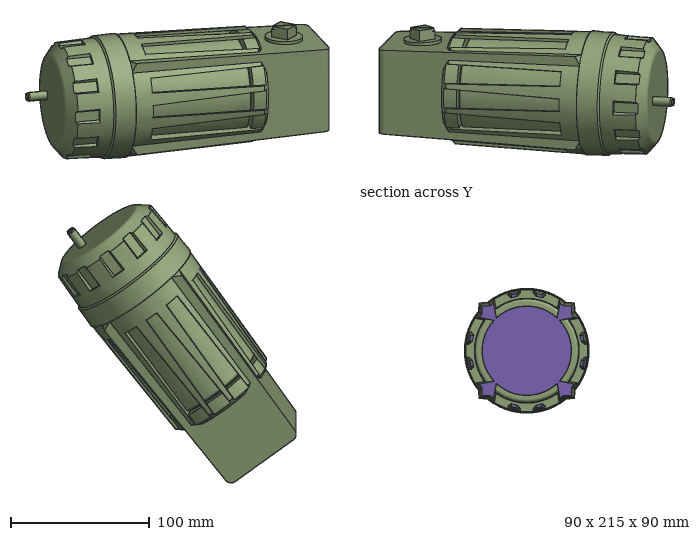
import cadquery as cq
import math


CAP_CHAMFER_END_Y = 7.0
CAP_REAR_Y = 33.5
COLLAR_FRONT_Y = 34.8
COLLAR_REAR_Y = 50.1
WINDOW_FRONT_Y = 63.0
CORE_REAR_Y = 138.5
BAND_FRONT_Y = 139.8
HOUSING_SHOULDER_Y = 147.3
HOUSING_REAR_Y = 151.5
BLOCK_REAR_Y = 200.0

CAP_FACE_RADIUS = 33.8
CAP_FRONT_RADIUS = 42.2
CAP_REAR_RADIUS = 43.2
CAP_EDGE_FILLET = 3.9
COLLAR_FRONT_RADIUS = 44.5
COLLAR_RADIUS = 45.0
HOUSING_FRONT_RADIUS = 44.3
HOUSING_SHOULDER_RADIUS = 41.7
HOUSING_REAR_RADIUS = 37.5

CORE_FRONT_RADIUS = 37.9
CORE_REAR_RADIUS = 37.5
CORE_FILLET = 2.4
BAND_RADIUS = 39.5
GAP_FLOOR_RADIUS = 32.3

FLUTE_COUNT = 12
FLUTE_REAR_Y = 23.5
FLUTE_FLOOR_RADIUS = 40.5
FLUTE_FLOOR_WIDTH = 7.3
FLUTE_DRAFT = 0.7

BLOCK_FRONT_HALF = 34.6
BLOCK_REAR_HALF = 31.0
BLOCK_CORNER_RADIUS = 5.2
POST_BEVEL_LENGTH = 3.5
POST_CORNER_RADIUS = BLOCK_FRONT_HALF * math.sqrt(2)

WINDOW_BASE = 21.5
WINDOW_FRONT_BASE_HALF = 20.2
WINDOW_REAR_BASE_HALF = 21.5
WINDOW_WALL_DRAFT = 0.2
RIB_OFFSET = 9.0
RIB_FRONT_WIDTH = 8.8
RIB_REAR_WIDTH = 3.2
RIB_FRONT_UNDERSIDE_RADIUS = 42.2
SIDE_COUNT = 4

PIN_X = -15.0
PIN_DIAMETER = 6.5
PIN_TIP_DIAMETER = 5.0
PIN_HOLE_DIAMETER = 4.0
PIN_LENGTH = 15.0
PIN_ROOT_DEPTH = 10.8
PIN_TIP_LENGTH = 2.0
PIN_HOLE_DEPTH = 1.0

SCREW_Y = 173.8
WASHER_DIAMETER = 27.0
WASHER_HEIGHT = 2.2
HEAD_DIAGONAL = 18.7
HEAD_HEIGHT = 8.0
SLOT_WIDTH = 1.5
SLOT_DEPTH = 2.2


def turned(profile):
    """Solid of revolution about Y from (radius, y) points that start and end on the axis."""
    return cq.Workplane("XY").polyline(profile).close().revolve(360, (0, 0, 0), (0, 1, 0))


def around_axis(shape, count):
    """Copies of a shape spread evenly around the Y axis."""
    return [shape.rotate((0, 0, 0), (0, 1, 0), i * 360 / count) for i in range(count)]


def make_cap_and_collar():
    body = turned([
        (0, 0),
        (CAP_FACE_RADIUS, 0),
        (CAP_FRONT_RADIUS, CAP_CHAMFER_END_Y),
        (CAP_REAR_RADIUS, CAP_REAR_Y),
        (COLLAR_FRONT_RADIUS, COLLAR_FRONT_Y),
        (COLLAR_RADIUS, COLLAR_REAR_Y),
        (0, COLLAR_REAR_Y),
    ])
    body = body.faces("<Y").edges().fillet(CAP_EDGE_FILLET)

    floor_half = FLUTE_FLOOR_WIDTH / 2
    outer_half = floor_half + FLUTE_DRAFT * (COLLAR_RADIUS - FLUTE_FLOOR_RADIUS)
    flute = (
        cq.Workplane("XZ", origin=(0, FLUTE_REAR_Y, 0))
        .polyline([
            (-floor_half, FLUTE_FLOOR_RADIUS),
            (floor_half, FLUTE_FLOOR_RADIUS),
            (outer_half, COLLAR_RADIUS),
            (-outer_half, COLLAR_RADIUS),
        ])
        .close()
        .extrude(FLUTE_REAR_Y)
    )
    for cutter in around_axis(flute, FLUTE_COUNT):
        body = body.cut(cutter)
    return body


def make_housing():
    return turned([
        (0, COLLAR_REAR_Y),
        (HOUSING_FRONT_RADIUS, COLLAR_REAR_Y),
        (HOUSING_SHOULDER_RADIUS, HOUSING_SHOULDER_Y),
        (HOUSING_REAR_RADIUS, HOUSING_REAR_Y),
        (0, HOUSING_REAR_Y),
    ])


def make_block():
    block = (
        cq.Workplane("XZ", origin=(0, COLLAR_REAR_Y, 0))
        .rect(2 * BLOCK_FRONT_HALF, 2 * BLOCK_FRONT_HALF)
        .workplane(offset=COLLAR_REAR_Y - BLOCK_REAR_Y)
        .rect(2 * BLOCK_REAR_HALF, 2 * BLOCK_REAR_HALF)
        .loft()
    )
    block = block.faces(">Y").edges("|Z").fillet(BLOCK_CORNER_RADIUS)
    envelope = turned([
        (0, COLLAR_REAR_Y),
        (COLLAR_RADIUS, COLLAR_REAR_Y),
        (POST_CORNER_RADIUS, COLLAR_REAR_Y + POST_BEVEL_LENGTH),
        (POST_CORNER_RADIUS, BLOCK_REAR_Y),
        (0, BLOCK_REAR_Y),
    ])
    return block.intersect(envelope)


def make_core():
    """Inner drum, a narrow gap behind it, and the band that carries the rear rib ends."""
    drum = turned([
        (0, COLLAR_REAR_Y),
        (CORE_FRONT_RADIUS, COLLAR_REAR_Y),
        (CORE_REAR_RADIUS, CORE_REAR_Y),
        (0, CORE_REAR_Y),
    ])
    drum = drum.faces(">Y").edges().fillet(CORE_FILLET)
    rear = turned([
        (0, COLLAR_REAR_Y),
        (GAP_FLOOR_RADIUS, COLLAR_REAR_Y),
        (GAP_FLOOR_RADIUS, BAND_FRONT_Y),
        (BAND_RADIUS, BAND_FRONT_Y),
        (BAND_RADIUS, HOUSING_REAR_Y),
        (0, HOUSING_REAR_Y),
    ])
    return drum.union(rear)


def make_opening():
    """Window opening with drafted side walls that spread slightly toward the rear."""
    height = COLLAR_RADIUS - WINDOW_BASE
    spread = WINDOW_WALL_DRAFT * height

    def section(base_half):
        return [
            (-base_half, 0),
            (base_half, 0),
            (base_half + spread, height),
            (-base_half - spread, height),
        ]

    return (
        cq.Workplane("XZ", origin=(0, WINDOW_FRONT_Y, WINDOW_BASE))
        .polyline(section(WINDOW_FRONT_BASE_HALF))
        .close()
        .workplane(offset=WINDOW_FRONT_Y - HOUSING_REAR_Y)
        .polyline(section(WINDOW_REAR_BASE_HALF))
        .close()
        .loft()
    )


def make_rib_strip(center):
    """Upright strip that narrows from the window front to the housing rear."""
    return (
        cq.Workplane("XY", origin=(center, 0, WINDOW_BASE))
        .polyline([
            (-RIB_FRONT_WIDTH / 2, WINDOW_FRONT_Y),
            (RIB_FRONT_WIDTH / 2, WINDOW_FRONT_Y),
            (RIB_REAR_WIDTH / 2, HOUSING_REAR_Y),
            (-RIB_REAR_WIDTH / 2, HOUSING_REAR_Y),
        ])
        .close()
        .extrude(COLLAR_RADIUS - WINDOW_BASE)
    )


def make_window_cutter(housing, core):
    """Window on the +Z side: open down to the core, with two bridging ribs left standing."""
    under_ribs = turned([
        (0, WINDOW_FRONT_Y),
        (RIB_FRONT_UNDERSIDE_RADIUS, WINDOW_FRONT_Y),
        (BAND_RADIUS, BAND_FRONT_Y),
        (BAND_RADIUS, HOUSING_REAR_Y),
        (0, HOUSING_REAR_Y),
    ])
    opening = make_opening().intersect(housing).cut(core)
    for side in (-1, 1):
        rib = make_rib_strip(side * RIB_OFFSET).cut(under_ribs)
        opening = opening.cut(rib)
    return opening


def make_pin():
    radius = PIN_DIAMETER / 2
    tip_radius = PIN_TIP_DIAMETER / 2
    pin = turned([
        (0, PIN_ROOT_DEPTH),
        (radius, PIN_ROOT_DEPTH),
        (radius, PIN_TIP_LENGTH - PIN_LENGTH),
        (tip_radius, -PIN_LENGTH),
        (0, -PIN_LENGTH),
    ])
    pin = pin.faces("<Y").workplane().hole(PIN_HOLE_DIAMETER, PIN_HOLE_DEPTH)
    return pin.translate((PIN_X, 0, 0))


def make_screw():
    """Slotted square head on a washer, standing square to the sloped top of the block."""
    head = (
        cq.Workplane("XY")
        .polygon(4, HEAD_DIAGONAL)
        .extrude(WASHER_HEIGHT + HEAD_HEIGHT)
        .faces(">Z")
        .workplane()
        .rect(SLOT_WIDTH, HEAD_DIAGONAL)
        .cutBlind(-SLOT_DEPTH)
    )
    washer = (
        cq.Workplane("XY", origin=(0, 0, -WASHER_HEIGHT))
        .circle(WASHER_DIAMETER / 2)
        .extrude(2 * WASHER_HEIGHT)
    )
    slope = (BLOCK_REAR_HALF - BLOCK_FRONT_HALF) / (BLOCK_REAR_Y - COLLAR_REAR_Y)
    seat_z = BLOCK_REAR_HALF + slope * (SCREW_Y - BLOCK_REAR_Y)
    tilt = math.degrees(math.atan(slope))
    return washer.union(head).rotate((0, 0, 0), (1, 0, 0), tilt).translate((0, SCREW_Y, seat_z))


housing = make_housing()
body = housing.union(make_block())
window_cutter = make_window_cutter(housing, make_core())
for cutter in around_axis(window_cutter, SIDE_COUNT):
    body = body.cut(cutter)

result = body.union(make_cap_and_collar()).union(make_pin()).union(make_screw())